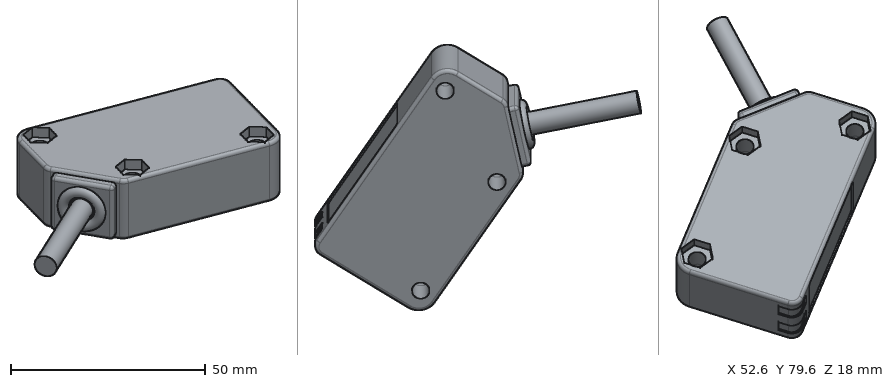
import cadquery as cq
import math

WIDTH = 35.0
LENGTH = 62.0
THICKNESS = 18.0
CUT_CORNER = 15.0
LARGE_CORNER_RADIUS = 5.0
SMALL_CORNER_RADIUS = 3.0
EDGE_FILLET = 1.0
TOP_Z = THICKNESS / 2

HOLE_DIAMETER = 4.5
NUT_ACROSS_FLATS = 7.5
NUT_DEPTH = 3.0
RIGHT_HOLE_X = WIDTH - 5.0
UPPER_HOLE_Y = LENGTH - 6.0
HOLE_SPACING = 36.0
LEFT_HOLE_X = 5.0
LEFT_HOLE_Y = 6.0
HOLE_CENTERS = [
    (RIGHT_HOLE_X, UPPER_HOLE_Y),
    (RIGHT_HOLE_X, UPPER_HOLE_Y - HOLE_SPACING),
    (LEFT_HOLE_X, LEFT_HOLE_Y),
]

PANEL_LENGTH = 33.0
PANEL_HEIGHT = 15.0
PANEL_END_GAP = 8.0
PANEL_CORNER_RADIUS = 1.0
PANEL_DEPTH = 0.5

WINDOW_REACH = 5.6
WINDOW_HEIGHT = 4.0
WINDOW_CENTER_Z = 4.0
WINDOW_DEPTH = 0.45
WINDOW_CORNER_RADIUS = 0.7

PLATE_WIDTH = 17.0
PLATE_HEIGHT = 16.0
PLATE_THICKNESS = 2.5
PLATE_FILLET = 1.0
GROMMET_RADIUS = 5.0
GROMMET_TUBE_RADIUS = 1.5
CABLE_DIAMETER = 6.0
CABLE_REACH = 32.5
PLATE_EMBEDDING = 1.0


def corner_edges(body, x, y):
    """Select the upright edge of the body that passes through (x, y)."""
    return body.edges(cq.selectors.NearestToPointSelector((x, y, 0)))


def make_outline_block():
    """Housing with rounded upright corners and sharp top and bottom edges."""
    cut_start_x = WIDTH - CUT_CORNER
    outline = [
        (0, 0),
        (cut_start_x, 0),
        (WIDTH, CUT_CORNER),
        (WIDTH, LENGTH),
        (0, LENGTH),
    ]
    radii = [
        LARGE_CORNER_RADIUS,
        SMALL_CORNER_RADIUS,
        SMALL_CORNER_RADIUS,
        LARGE_CORNER_RADIUS,
        SMALL_CORNER_RADIUS,
    ]
    block = cq.Workplane("XY").polyline(outline).close().extrude(TOP_Z, both=True)
    for (x, y), radius in zip(outline, radii):
        block = corner_edges(block, x, y).fillet(radius)
    return block


def make_mounting_cuts():
    """Through holes and the nut pockets above them."""
    holes = (
        cq.Workplane("XY")
        .pushPoints(HOLE_CENTERS)
        .circle(HOLE_DIAMETER / 2)
        .extrude(THICKNESS, both=True)
    )
    nut_across_corners = NUT_ACROSS_FLATS / math.cos(math.pi / 6)
    pockets = (
        cq.Workplane("XY", origin=(0, 0, TOP_Z - NUT_DEPTH))
        .pushPoints(HOLE_CENTERS)
        .polygon(6, nut_across_corners)
        .extrude(NUT_DEPTH)
    )
    return holes.union(pockets)


def make_panel_cut():
    """Rounded rectangular recess in the left side face."""
    panel_center_y = LENGTH - PANEL_END_GAP - PANEL_LENGTH / 2
    return (
        cq.Workplane("XY")
        .box(2 * PANEL_DEPTH, PANEL_LENGTH, PANEL_HEIGHT)
        .edges("|X")
        .fillet(PANEL_CORNER_RADIUS)
        .translate((0, panel_center_y, 0))
    )


def make_window_cut(side):
    """Band of constant depth around the upper left corner; side is 1 above or -1 below mid thickness."""
    outer_edge = ">Z" if side > 0 else "<Z"
    band = (
        cq.Workplane("XY")
        .box(WINDOW_REACH, WINDOW_REACH, WINDOW_HEIGHT)
        .edges("|X and <Y")
        .edges(outer_edge)
        .fillet(WINDOW_CORNER_RADIUS)
        .translate((WINDOW_REACH / 2, LENGTH - WINDOW_REACH / 2, side * WINDOW_CENTER_Z))
    )
    core = (
        cq.Workplane("XY")
        .box(WINDOW_REACH, WINDOW_REACH, THICKNESS)
        .edges("|Z and <X and >Y")
        .fillet(SMALL_CORNER_RADIUS - WINDOW_DEPTH)
        .translate((WINDOW_DEPTH + WINDOW_REACH / 2, LENGTH - WINDOW_DEPTH - WINDOW_REACH / 2, 0))
    )
    return band.cut(core)


def make_cable_outlet():
    """Plate, grommet ring and cable, built outwards along the normal of the cut corner."""
    face_center = (WIDTH - CUT_CORNER / 2, CUT_CORNER / 2, 0)
    mount = cq.Plane(origin=face_center, xDir=(1, 1, 0), normal=(1, -1, 0))
    plate = (
        cq.Workplane(mount)
        .workplane(offset=-PLATE_EMBEDDING)
        .rect(PLATE_WIDTH, PLATE_HEIGHT)
        .extrude(PLATE_EMBEDDING + PLATE_THICKNESS)
    )
    outward = cq.Vector(1, -1, 0)
    plate = plate.edges(cq.selectors.ParallelDirSelector(outward)).fillet(PLATE_FILLET)
    plate = plate.faces(cq.selectors.DirectionMinMaxSelector(outward)).edges().fillet(PLATE_FILLET)
    grommet_center = mount.toWorldCoords((0, 0, PLATE_THICKNESS))
    ring = cq.Solid.makeTorus(GROMMET_RADIUS, GROMMET_TUBE_RADIUS, grommet_center, mount.zDir)
    grommet = cq.Workplane(ring)
    cable = cq.Workplane(mount).circle(CABLE_DIAMETER / 2).extrude(CABLE_REACH)
    return plate.union(grommet).union(cable)


housing = make_outline_block().faces("|Z").edges().fillet(EDGE_FILLET)
housing = housing.cut(make_mounting_cuts()).cut(make_panel_cut())
for window_side in (1, -1):
    housing = housing.cut(make_window_cut(window_side))

result = housing.union(make_cable_outlet())